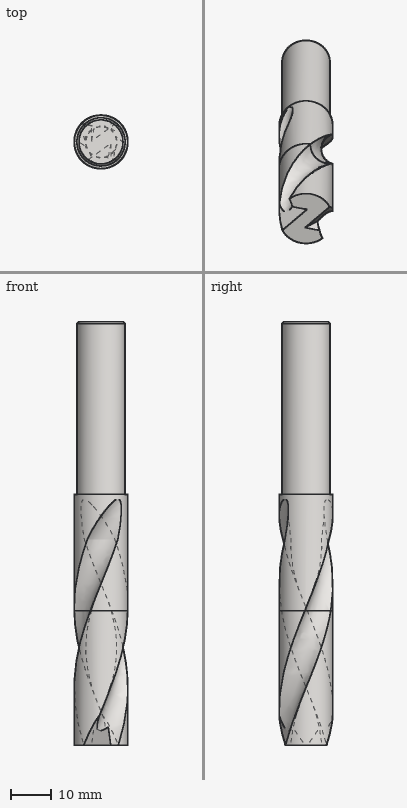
import cadquery as cq
import math

total_length = 105.0
body_diameter = 13.3
shank_diameter = 12.0
shank_chamfer = 0.5
shoulder_z = 62.2
joint_z = 33.4

flute_count = 2
flute_radius = 5.0
flute_offset = 8.8
flute_lead = 102.9
flute_start_angle = -84.5
flute_end_z = 51.0
runout_length = 10.0
runout_power = 1.2
runout_steps = 6

gash_height = 7.8
gash_heel = (-4.3, -5.1)
gash_angle = 36.0
gash_lean = 25.5
gash_wall_x = 2.4
gash_wall_shift = 1.0
gash_overrun = 3.2

body_radius = body_diameter / 2
twist_rate = 360.0 / flute_lead


def flute_section(z, lift):
    """Round flute section at height z, moved outward by lift."""
    angle = math.radians(flute_start_angle + twist_rate * z)
    reach = flute_offset + lift
    centre = cq.Vector(reach * math.cos(angle), reach * math.sin(angle), z)
    return cq.Wire.makeCircle(flute_radius, centre, cq.Vector(0, 0, 1))


def make_flute():
    """Full-depth helical stretch of the first flute."""
    return (
        cq.Workplane("XY")
        .transformed(rotate=(0, 0, flute_start_angle))
        .moveTo(flute_offset, 0)
        .circle(flute_radius)
        .twistExtrude(flute_end_z, twist_rate * flute_end_z)
    )


def make_runout():
    """Upper end of the first flute, still turning while its depth falls to nothing."""
    flute_depth = body_radius - (flute_offset - flute_radius)
    sections = []
    for step in range(runout_steps + 1):
        fraction = step / runout_steps
        z = flute_end_z + runout_length * fraction
        sections.append(flute_section(z, flute_depth * fraction**runout_power))
    return cq.Workplane(cq.Solid.makeLoft(sections))


def gash_outline(face_shift, wall_x):
    """Plan of the gash: its face, its far wall, and open space outside the body."""
    direction = math.radians(gash_angle)
    heel_x = gash_heel[0] + face_shift * math.sin(direction)
    heel_y = gash_heel[1] - face_shift * math.cos(direction)
    slope = math.tan(direction)
    outer_x = -body_radius - gash_overrun
    outer_y = -body_radius - 2 * gash_overrun
    return [
        (outer_x, heel_y + slope * (outer_x - heel_x)),
        (wall_x, heel_y + slope * (wall_x - heel_x)),
        (wall_x, outer_y),
        (outer_x, outer_y),
    ]


def make_gash():
    """Leaning notch at the tip of the first flute."""
    top_shift = gash_height * math.tan(math.radians(gash_lean))
    return (
        cq.Workplane("XY")
        .polyline(gash_outline(0, gash_wall_x))
        .close()
        .workplane(offset=gash_height)
        .polyline(gash_outline(top_shift, gash_wall_x - gash_wall_shift))
        .close()
        .loft(ruled=True)
    )


def cut_around(body, cutter):
    """Cut one copy of the cutter for each flute."""
    for index in range(flute_count):
        angle = 360.0 / flute_count * index
        body = body.cut(cutter.rotate((0, 0, 0), (0, 0, 1), angle))
    return body


def make_holder():
    """Chamfered shank with the upper, fluted part of the body."""
    collar = cq.Workplane("XY").workplane(offset=joint_z).circle(body_radius).extrude(shoulder_z - joint_z)
    shank = (
        cq.Workplane("XY")
        .workplane(offset=shoulder_z)
        .circle(shank_diameter / 2)
        .extrude(total_length - shoulder_z)
        .faces(">Z")
        .chamfer(shank_chamfer)
    )
    holder = collar.union(shank)
    holder = cut_around(holder, make_flute())
    return cut_around(holder, make_runout())


def make_cutting_head():
    """Lower fluted body with gashes at its tip."""
    head = cq.Workplane("XY").circle(body_radius).extrude(joint_z)
    head = cut_around(head, make_flute())
    return cut_around(head, make_gash())


holder = make_holder()
cutting_head = make_cutting_head()

result = cq.Compound.makeCompound([holder.val(), cutting_head.val()])